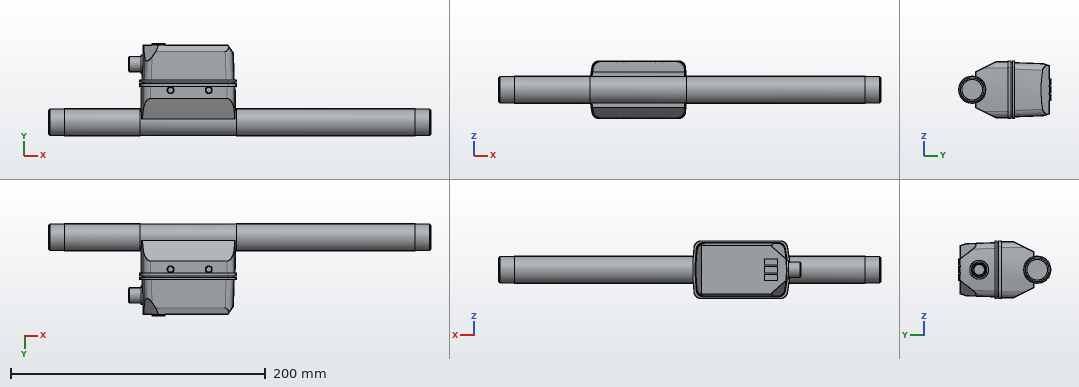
import cadquery as cq
import math

pipe_length = 300.0
pipe_diameter = 21.3
neck_diameter = 21.0
bore_diameter = 16.2
thread_length = 12.5
end_chamfer = 1.2
saddle_length = 76.0
housing_x = -40.5

base_bottom = 2.7
base_shoulder = 18.5
base_bottom_half_width = 14.0
seam_bottom = 28.2
bead_gap = (30.5, 31.5)
seam_top = 33.3
lid_top = 60.5
base_length = 74.0
base_width = 44.0
bead_length = 76.2
bead_width = 45.3
lid_length = 72.5
lid_width = 42.5
lid_draft = 2.0
left_bulge = 3.0
right_bulge = 1.5
corner_radius = 5.7

lid_side_chamfer_height = 4.5
lid_side_chamfer_width = 1.5
lid_end_chamfer_length = 4.2
lid_end_chamfer_height = 6.3
corner_cut_length = 10.8
corner_cut_height = 14.0
corner_cut_width = 9.5

connector_y = 45.5
connector_diameter = 12.0
connector_tip_x = -87.3
connector_chamfer = 1.0
connector_bore = 8.5
connector_bore_depth = 6.0
collar_diameter = 14.7
collar_tip_x = -77.5

screw_y = 25.2
screw_spacing = 30.0
screw_mid_x = -39.3
recess_diameter = 5.5
recess_depth = 1.0
socket_diameter = 4.5
socket_depth = 2.5

part_top = 61.65
pad_x = -64.0
pad_length = 10.2
pad_width = 4.8
pad_pitch = 6.0


def x_cylinder(diameter, x_start, x_end, y=0.0):
    """Cylinder along X between two stations."""
    plane = cq.Workplane("YZ", origin=(x_start, y, 0))
    return plane.circle(diameter / 2).extrude(x_end - x_start)


def housing_slab(length, width, y_start, y_end, draft=0.0):
    """Slab with bowed ends and rounded corners, rising along +Y; length includes the bow."""
    half_length = length / 2
    left_corner_x = left_bulge - half_length
    right_corner_x = half_length - right_bulge
    half_width = width / 2
    plane = cq.Plane(origin=(housing_x, y_start, 0), xDir=(1, 0, 0), normal=(0, 1, 0))
    return (
        cq.Workplane(plane)
        .moveTo(left_corner_x, -half_width)
        .lineTo(right_corner_x, -half_width)
        .threePointArc((half_length, 0), (right_corner_x, half_width))
        .lineTo(left_corner_x, half_width)
        .threePointArc((-half_length, 0), (left_corner_x, -half_width))
        .close()
        .extrude(y_end - y_start, taper=draft)
        .edges("not (<Y or >Y)")
        .fillet(corner_radius)
    )


def cut_beyond(body, point_a, point_b, point_c):
    """Remove what lies outside the plane through three points, away from the lid's middle."""
    start = cq.Vector(*point_a)
    normal = (cq.Vector(*point_b) - start).cross(cq.Vector(*point_c) - start)
    lid_middle = cq.Vector(housing_x, seam_top, 0)
    if normal.dot(lid_middle - start) > 0:
        normal = -normal
    waste = cq.Workplane(cq.Plane(origin=point_a, normal=normal)).rect(pipe_length, pipe_length)
    return body.cut(waste.extrude(bead_length))


def make_pipe():
    half = pipe_length / 2
    pipe = x_cylinder(neck_diameter, -half, half).faces("<X or >X").chamfer(end_chamfer)
    saddle_start = housing_x - saddle_length / 2
    saddle_end = housing_x + saddle_length / 2
    pipe = pipe.union(x_cylinder(pipe_diameter, thread_length - half, saddle_start))
    return pipe.union(x_cylinder(pipe_diameter, saddle_end, half - thread_length))


def cut_bores(body):
    """Blind bore from each pipe end up to the housing."""
    half = pipe_length / 2
    body = body.cut(x_cylinder(bore_diameter, -half, housing_x - saddle_length / 2))
    return body.cut(x_cylinder(bore_diameter, housing_x + saddle_length / 2, half))


def make_base():
    """Base slab whose flanks slope inward to the pipe."""
    half_width = base_width / 2
    section = (
        cq.Workplane("YZ", origin=(housing_x - base_length / 2, 0, 0))
        .polyline([
            (base_bottom, -base_bottom_half_width),
            (base_shoulder, -half_width),
            (seam_bottom, -half_width),
            (seam_bottom, half_width),
            (base_shoulder, half_width),
            (base_bottom, base_bottom_half_width),
        ])
        .close()
        .extrude(base_length)
    )
    return housing_slab(base_length, base_width, base_bottom, seam_bottom).intersect(section)


def make_seam():
    """Two sealing beads with a narrow groove between them."""
    seam = housing_slab(bead_length, bead_width, seam_bottom, bead_gap[0])
    seam = seam.union(housing_slab(lid_length, lid_width, bead_gap[0], bead_gap[1]))
    return seam.union(housing_slab(bead_length, bead_width, bead_gap[1], seam_top))


def make_lid():
    """Drafted cover with chamfered top edges and two large corner cuts at its -X end."""
    lid = housing_slab(lid_length, lid_width, seam_top, lid_top, lid_draft)
    taper = (lid_top - seam_top) * math.tan(math.radians(lid_draft))
    top_half_width = lid_width / 2 - taper
    top_left_x = housing_x - lid_length / 2 + left_bulge + taper
    top_right_x = housing_x + lid_length / 2 - taper

    for side in (1, -1):
        side_z = side * top_half_width
        lid = cut_beyond(
            lid,
            (housing_x, lid_top, side_z - side * lid_side_chamfer_width),
            (top_left_x, lid_top, side_z - side * lid_side_chamfer_width),
            (housing_x, lid_top - lid_side_chamfer_height, side_z),
        )
        lid = cut_beyond(
            lid,
            (top_left_x + corner_cut_length, lid_top, side_z),
            (top_left_x, lid_top - corner_cut_height, side_z),
            (top_left_x, lid_top, side_z - side * corner_cut_width),
        )
    return cut_beyond(
        lid,
        (top_right_x - lid_end_chamfer_length, lid_top, 0),
        (top_right_x - lid_end_chamfer_length, lid_top, top_half_width),
        (top_right_x, lid_top - lid_end_chamfer_height, 0),
    )


def add_connector(body):
    """Cable socket with a low collar where it leaves the lid."""
    plug = x_cylinder(connector_diameter, connector_tip_x, housing_x, connector_y)
    plug = plug.faces("<X").chamfer(connector_chamfer)
    body = body.union(plug)
    body = body.union(x_cylinder(collar_diameter, collar_tip_x, housing_x, connector_y))
    bore_end = connector_tip_x + connector_bore_depth
    return body.cut(x_cylinder(connector_bore, connector_tip_x, bore_end, connector_y))


def cut_screw_recesses(body):
    """Shallow screw seats with a deeper socket, two on each side of the base."""
    for offset in (-screw_spacing / 2, screw_spacing / 2):
        for side in (1, -1):
            seat = cq.Plane(
                origin=(screw_mid_x + offset, screw_y, side * base_width / 2),
                xDir=(1, 0, 0),
                normal=(0, 0, -side),
            )
            body = body.cut(cq.Workplane(seat).circle(recess_diameter / 2).extrude(recess_depth))
            body = body.cut(cq.Workplane(seat).circle(socket_diameter / 2).extrude(socket_depth))
    return body


def add_pads(body):
    """Row of three raised pads across the lid."""
    height = part_top - lid_top
    for index in (-1, 0, 1):
        pad = cq.Workplane("XY").box(pad_length, height, pad_width)
        body = body.union(pad.translate((pad_x, lid_top + height / 2, index * pad_pitch)))
    return body


result = make_pipe().union(make_base()).union(make_seam()).union(make_lid())
result = add_connector(result)
result = cut_screw_recesses(result)
result = cut_bores(result)
result = add_pads(result)